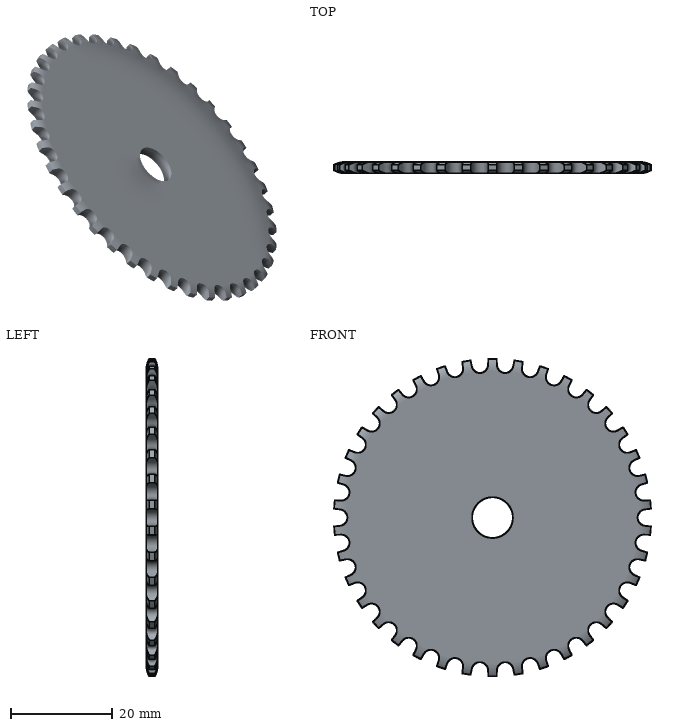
import cadquery as cq
import math

tooth_count = 38
chain_pitch = 5.0
roller_diameter = 3.2
tip_radius = 31.35
thickness = 2.3
bore_diameter = 8.0
flank_angle = 6.5
relief_start_radius = 29.0
relief_arc_radius = 4.8

tooth_angle = 360.0 / tooth_count
pitch_radius = chain_pitch / (2 * math.sin(math.pi / tooth_count))
gap_radius = roller_diameter / 2
half_thickness = thickness / 2
bore_radius = bore_diameter / 2


def relief_half_thickness(radius):
    """Half thickness of a tooth at a radius outside the flat faces."""
    rise = radius - relief_start_radius
    drop = relief_arc_radius - math.sqrt(relief_arc_radius**2 - rise**2)
    return half_thickness - drop


def make_blank():
    """Bored disc about the Y axis whose rim narrows towards the tooth tips."""
    middle_radius = (relief_start_radius + tip_radius) / 2
    middle_half = relief_half_thickness(middle_radius)
    tip_half = relief_half_thickness(tip_radius)
    return (
        cq.Workplane("XY")
        .moveTo(bore_radius, -half_thickness)
        .lineTo(relief_start_radius, -half_thickness)
        .threePointArc((middle_radius, -middle_half), (tip_radius, -tip_half))
        .lineTo(tip_radius, tip_half)
        .threePointArc((middle_radius, middle_half), (relief_start_radius, half_thickness))
        .lineTo(bore_radius, half_thickness)
        .close()
        .revolve(360, (0, 0, 0), (0, 1, 0))
    )


def make_gaps():
    """Round-bottomed roller gaps, open at the rim; the first one lies on +X."""
    slope = math.radians(flank_angle)
    seat_end = pitch_radius - gap_radius * math.sin(slope)
    seat_half_width = gap_radius * math.cos(slope)
    open_end = tip_radius + gap_radius
    open_half_width = seat_half_width + (open_end - seat_end) * math.tan(slope)
    gap = (
        cq.Workplane("XZ")
        .moveTo(open_end, -open_half_width)
        .lineTo(seat_end, -seat_half_width)
        .threePointArc((pitch_radius - gap_radius, 0), (seat_end, seat_half_width))
        .lineTo(open_end, open_half_width)
        .close()
        .extrude(thickness, both=True)
        .val()
    )
    gaps = []
    for index in range(tooth_count):
        gaps.append(gap.rotate((0, 0, 0), (0, 1, 0), index * tooth_angle))
    return cq.Workplane(cq.Compound.makeCompound(gaps))


result = make_blank().cut(make_gaps())